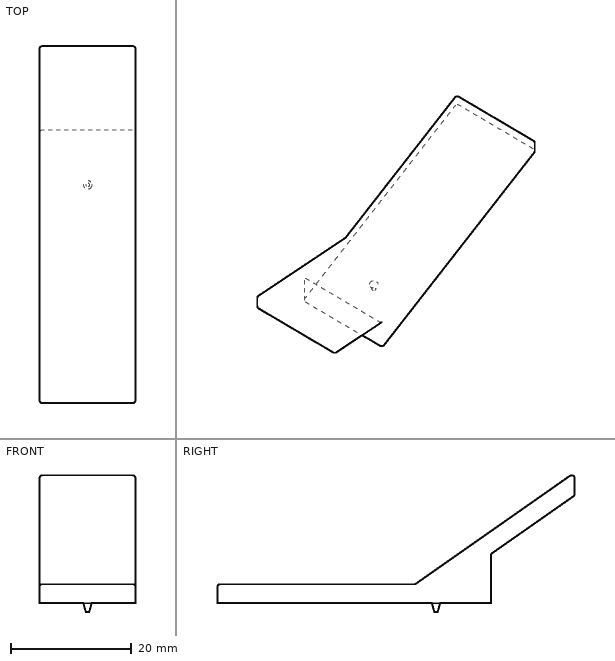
import cadquery as cq
import math

width = 16.0
length = 59.4
body_height = 21.25
panel_thickness = 3.15
edge_radius = 0.5

recline_angle = math.radians(35)
support_back_y = 45.5

pin_y = 36.35
pin_length = 1.5
pin_base_radius = 0.7
pin_tip_radius = 0.3

slope = math.tan(recline_angle)
rounding_drop = edge_radius * (1 / math.cos(recline_angle) + slope - 1)
back_top_z = body_height + rounding_drop
back_bottom_z = back_top_z - panel_thickness / math.cos(recline_angle)
crease_y = length - (back_top_z - panel_thickness) / slope
support_top_z = back_bottom_z - (length - support_back_y) * slope


def make_body():
    """Side profile extruded across the width, rounded everywhere but the base."""
    side_profile = [
        (0, 0),
        (support_back_y, 0),
        (support_back_y, support_top_z),
        (length, back_bottom_z),
        (length, back_top_z),
        (crease_y, panel_thickness),
        (0, panel_thickness),
    ]
    body = cq.Workplane("YZ").polyline(side_profile).close().extrude(width / 2, both=True)
    return body.edges("not <Z").fillet(edge_radius)


def make_pin():
    """Cone frustum hanging from the base, narrowing downwards."""
    cone = cq.Solid.makeCone(
        pin_base_radius,
        pin_tip_radius,
        pin_length,
        pnt=cq.Vector(0, pin_y, 0),
        dir=cq.Vector(0, 0, -1),
    )
    return cq.Workplane(obj=cone)


result = make_body().union(make_pin())